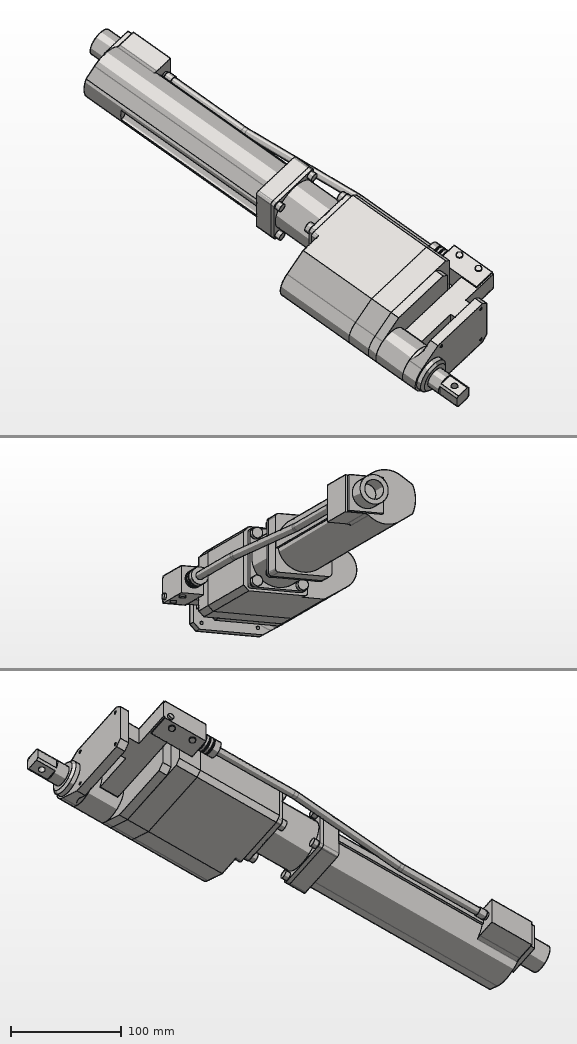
import cadquery as cq
import math


x_connector_collar = 19.5
x_motor_rear = 24.0
x_block_end = 68.5
x_plug = 70.5
x_groove = 68.0
x_motor_flange = 230.0
x_coupling = 247.0
x_neck_rear = 251.0
x_neck_front = 293.0
x_gearbox = 299.0
x_case = 305.0
x_cap = 387.0
x_rear_plate = 410.5
x_tube = 419.5
x_collar = 451.5
x_front_plate = 457.5
x_nut = 467.0
x_nut_end = 474.0
x_rod_flats = 486.5
x_tip = 507.5

motor_radius = 25.5
motor_facet_angle = math.radians(33)
motor_flank_half = 13.5
motor_flank_y = -28.5
groove_radius = 7.0
rail_top_y = 27.0
rail_half = 5.0
flange_half = 27.5
flange_corner = 3.0

block_top_y = 40.0
block_half = 17.0
block_edge_y = 21.5
blend_sag = 0.75
connector_y = 21.5
connector_collar_half = 16.5
connector_radius = 13.5
connector_bore_radius = 9.0

neck_radius = 26.0
screw_offset = 22.5
rear_screw_radius = 4.0
front_screw_radius = 5.0
screw_head = 5.0

case_half = 30.0
case_top_y = 31.5
case_chamfer = 5.0
gearbox_low_y = -31.0
spindle_y = -62.0
nose_radius = 19.5
nose_angle = math.radians(31)
plate_top_y = 18.5
plate_chamfer = 6.0

flare_radius = 6.0
plate_hole_radius = 1.5
plate_hole_z = 24.0
plate_hole_ys = (10.0, -44.5)
nut_radius = 17.0
nut_chamfer = 2.5

rod_radius = 10.0
rod_square = 16.0
rod_hole_radius = 3.0
x_rod_hole = 497.0

x_sensor = 397.0
x_arm = 424.0
x_arm_end = 444.0
sensor_half = 12.5
arm_half = 11.0
x_sensor_lip = 442.5
sensor_top_y = 54.0
sensor_low_y = 32.0
arm_low_y = -45.5
link_top_y = 15.0
link_low_y = -5.5
sensor_screw_xs = (408.0, 431.0)
sensor_screw_y = 48.0
sensor_screw_radius = 3.0
sensor_screw_head = 1.5
indicator_x = 437.0
indicator_z = -7.5
indicator_radius = 3.0
indicator_height = 2.0

cable_radius = 3.8
cable_rear_y = 32.0
cable_front_y = 43.0
x_bend_rear = 165.0
x_bend_front = 290.5
bend_reach = 2.0
plug_radius = 4.5
x_plug_end = 78.5
x_gland = 378.0
gland_core_radius = 6.5
gland_ring_radius = 8.0
gland_rings = ((378.0, 384.5), (386.0, 389.0), (390.5, 393.5))


def section(x):
    """Workplane across the X axis whose local axes are Y and Z."""
    return cq.Workplane("YZ", origin=(x, 0, 0))


def rod_along_x(x0, x1, radius, y=0.0, z=0.0):
    return section(x0).center(y, z).circle(radius).extrude(x1 - x0)


def box_between(x0, x1, y0, y1, half_z):
    return cq.Workplane("XY").box(x1 - x0, y1 - y0, 2 * half_z, centered=False).translate((x0, y0, -half_z))


def square_flange(x0, x1):
    return box_between(x0, x1, -flange_half, flange_half, flange_half).edges("|X").fillet(flange_corner)


def nose_outline(x, top_y):
    """Flat-sided outline that tapers at two facets onto a round nose about the spindle."""
    tangent_y = spindle_y - nose_radius * math.sin(nose_angle)
    tangent_z = nose_radius * math.cos(nose_angle)
    shoulder_y = tangent_y + (case_half - tangent_z) / math.tan(nose_angle)
    return (
        section(x)
        .moveTo(top_y, case_half)
        .lineTo(shoulder_y, case_half)
        .lineTo(tangent_y, tangent_z)
        .threePointArc((spindle_y - nose_radius, 0), (tangent_y, -tangent_z))
        .lineTo(shoulder_y, -case_half)
        .lineTo(top_y, -case_half)
        .close()
    )


def nose_prism(x0, x1, top_y, chamfer):
    return nose_outline(x0, top_y).extrude(x1 - x0).edges("|X and >Y").chamfer(chamfer)


def motor_case():
    """Round case with two facets and a curved, grooved flank on -Y, and a shallow rail on +Y."""
    tangent_y = -motor_radius * math.sin(motor_facet_angle)
    tangent_z = motor_radius * math.cos(motor_facet_angle)
    flank_y = tangent_y - (tangent_z - motor_flank_half) / math.tan(motor_facet_angle)
    case = (
        section(x_motor_rear)
        .moveTo(tangent_y, tangent_z)
        .threePointArc((motor_radius, 0), (tangent_y, -tangent_z))
        .lineTo(flank_y, -motor_flank_half)
        .threePointArc((motor_flank_y, 0), (flank_y, motor_flank_half))
        .close()
        .extrude(x_motor_flange - x_motor_rear)
    )
    rail = box_between(x_block_end, x_motor_flange, 0, rail_top_y, rail_half)
    return case.union(rail).cut(rod_along_x(x_groove, x_motor_flange, groove_radius, motor_flank_y))


def connector_block():
    """Block on the +Y side of the motor, blended onto the round case."""
    case_y = motor_radius * math.sin(motor_facet_angle)
    case_z = motor_radius * math.cos(motor_facet_angle)
    chord_y = block_edge_y - case_y
    chord_z = case_z - block_half
    chord = math.hypot(chord_y, chord_z)
    middle_y = (block_edge_y + case_y) / 2 - blend_sag * chord_z / chord
    middle_z = (block_half + case_z) / 2 - blend_sag * chord_y / chord
    return (
        section(x_motor_rear)
        .moveTo(block_top_y, block_half)
        .lineTo(block_edge_y, block_half)
        .threePointArc((middle_y, middle_z), (case_y, case_z))
        .lineTo(case_y, -case_z)
        .threePointArc((middle_y, -middle_z), (block_edge_y, -block_half))
        .lineTo(block_top_y, -block_half)
        .close()
        .extrude(x_block_end - x_motor_rear)
    )


def make_motor():
    collar = box_between(
        x_connector_collar,
        x_motor_rear,
        connector_y - connector_collar_half,
        connector_y + connector_collar_half,
        connector_collar_half,
    )
    connector = rod_along_x(0, x_connector_collar, connector_radius, connector_y)
    bore = rod_along_x(0, x_connector_collar, connector_bore_radius, connector_y)
    flange = square_flange(x_motor_flange, x_coupling)
    return motor_case().union(connector_block()).union(collar).union(connector).cut(bore).union(flange)


def make_coupling():
    """Round neck between two square flanges, with a screw head at each flange corner."""
    coupling = square_flange(x_coupling, x_neck_rear).union(square_flange(x_neck_front, x_gearbox))
    coupling = coupling.union(rod_along_x(x_neck_rear, x_neck_front, neck_radius))
    for y in (-screw_offset, screw_offset):
        for z in (-screw_offset, screw_offset):
            rear = rod_along_x(x_neck_rear, x_neck_rear + screw_head, rear_screw_radius, y, z)
            front = rod_along_x(x_neck_front - screw_head, x_neck_front, front_screw_radius, y, z)
            coupling = coupling.union(rear).union(front)
    return coupling


def make_gear_case():
    """Gear case with the square gearbox plate on its rear face."""
    plate = box_between(x_gearbox, x_case, gearbox_low_y, case_top_y, case_half)
    plate = plate.edges("|X and >Y").chamfer(case_chamfer).edges("|X and <Y").fillet(flange_corner)
    return nose_prism(x_case, x_cap, case_top_y, case_chamfer).union(plate)


def make_tube():
    return rod_along_x(x_tube, x_collar, nose_radius, spindle_y)


def flared_collar():
    """Collar behind the front plate that flares concavely onto it, trimmed to the plate outline."""
    flare_rim = nose_radius + flare_radius
    flare_middle = flare_radius * math.sqrt(0.5)
    profile = (
        cq.Workplane("XY")
        .moveTo(x_collar, spindle_y)
        .lineTo(x_collar, spindle_y + nose_radius)
        .threePointArc(
            (x_front_plate - flare_radius + flare_middle, spindle_y + flare_rim - flare_middle),
            (x_front_plate, spindle_y + flare_rim),
        )
        .lineTo(x_front_plate, spindle_y)
        .close()
    )
    collar = profile.revolve(360, (x_collar, spindle_y, 0), (x_front_plate, spindle_y, 0))
    return collar.intersect(nose_prism(x_collar, x_front_plate, plate_top_y, plate_chamfer))


def make_front_plate():
    """Front plate with its collar and nut, bored for the rod and drilled near the corners."""
    plate = nose_prism(x_front_plate, x_nut, plate_top_y, plate_chamfer)
    nut = rod_along_x(x_nut, x_nut_end, nut_radius, spindle_y).faces(">X").chamfer(nut_chamfer)
    plate = plate.union(flared_collar()).union(nut)
    plate = plate.cut(rod_along_x(x_collar, x_nut_end, rod_radius, spindle_y))
    for y in plate_hole_ys:
        for z in (-plate_hole_z, plate_hole_z):
            plate = plate.cut(rod_along_x(x_front_plate, x_nut, plate_hole_radius, y, z))
    return plate


def make_rod():
    """Round rod with a squared, cross-drilled tip."""
    tip = rod_along_x(x_rod_flats, x_tip, rod_radius, spindle_y)
    square = section(x_rod_flats).center(spindle_y, 0).rect(rod_square, rod_square)
    tip = tip.intersect(square.extrude(x_tip - x_rod_flats))
    cross_hole = (
        cq.Workplane("XY")
        .center(x_rod_hole, spindle_y)
        .circle(rod_hole_radius)
        .extrude(rod_radius, both=True)
    )
    return rod_along_x(x_collar, x_rod_flats, rod_radius, spindle_y).union(tip).cut(cross_hole)


def make_sensor():
    """Sensor block on an arm over the tube, linked to the front plate."""
    sensor = box_between(x_sensor, x_sensor_lip, sensor_low_y, sensor_top_y, sensor_half)
    arm = box_between(x_arm, x_arm_end, arm_low_y, sensor_low_y, arm_half)
    arm = arm.union(box_between(x_sensor_lip, x_arm_end, sensor_low_y, sensor_top_y, arm_half))
    link = box_between(x_arm_end, x_front_plate, link_low_y, link_top_y, arm_half)
    sensor = sensor.union(arm).union(link)
    for x in sensor_screw_xs:
        heads = (
            cq.Workplane("XY")
            .center(x, sensor_screw_y)
            .circle(sensor_screw_radius)
            .extrude(sensor_half + sensor_screw_head, both=True)
        )
        sensor = sensor.union(heads)
    indicator = (
        cq.Workplane("XZ", origin=(indicator_x, sensor_top_y, indicator_z))
        .circle(indicator_radius)
        .extrude(-indicator_height)
    )
    return sensor.union(indicator).cut(make_tube())


def make_cable():
    """Cable with two shallow bends, a plug at the motor and a ringed gland at the sensor."""
    slope = math.atan2(cable_front_y - cable_rear_y, x_bend_front - x_bend_rear)
    bend_x = bend_reach * math.cos(slope)
    bend_y = bend_reach * math.sin(slope)
    path = (
        cq.Workplane("XY")
        .moveTo(x_block_end, cable_rear_y)
        .lineTo(x_bend_rear - bend_reach, cable_rear_y)
        .tangentArcPoint((x_bend_rear + bend_x, cable_rear_y + bend_y), relative=False)
        .lineTo(x_bend_front - bend_x, cable_front_y - bend_y)
        .tangentArcPoint((x_bend_front + bend_reach, cable_front_y), relative=False)
        .lineTo(x_gland, cable_front_y)
    )
    cable = section(x_block_end).center(cable_rear_y, 0).circle(cable_radius).sweep(path)
    cable = cable.union(rod_along_x(x_plug, x_plug_end, plug_radius, cable_rear_y))
    cable = cable.union(rod_along_x(x_gland, x_sensor, gland_core_radius, cable_front_y))
    for ring_start, ring_end in gland_rings:
        cable = cable.union(rod_along_x(ring_start, ring_end, gland_ring_radius, cable_front_y))
    return cable


motor = make_motor()
coupling = make_coupling()
gear_case = make_gear_case()
case_cap = nose_prism(x_cap, x_rear_plate, case_top_y, case_chamfer)
rear_plate = nose_prism(x_rear_plate, x_tube, plate_top_y, plate_chamfer)
tube = make_tube()
front_plate = make_front_plate()
rod = make_rod()
sensor = make_sensor()
cable = make_cable()

bodies = [motor, coupling, gear_case, case_cap, rear_plate, tube, front_plate, rod, sensor, cable]
result = cq.Compound.makeCompound([body.solids().val() for body in bodies])